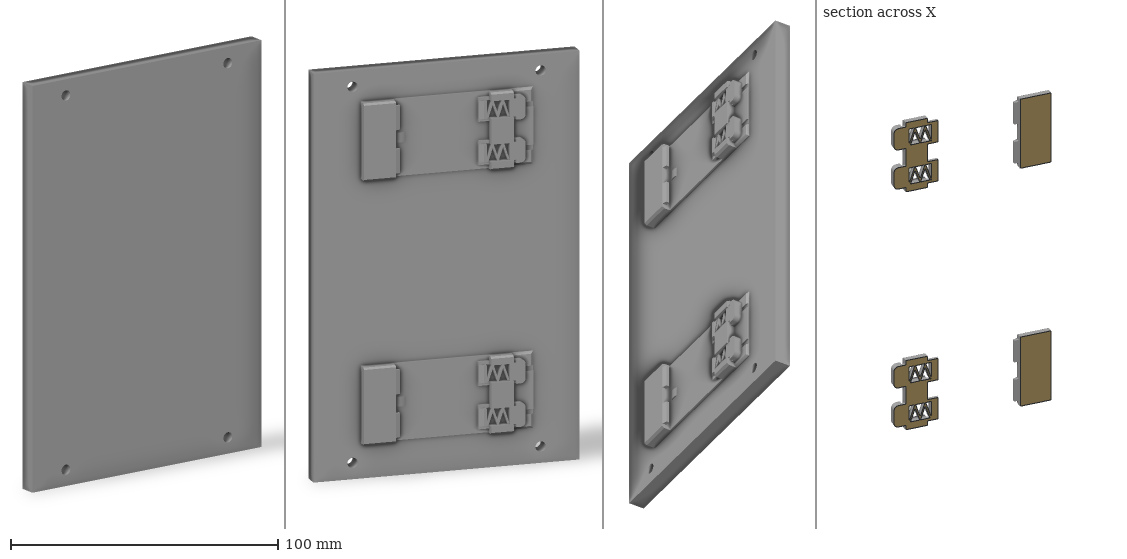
import cadquery as cq
import math

OVERALL_DEPTH = 10.93
PLATE_THICKNESS = 6.35
PLATE_WIDTH = 104.65
PLATE_HEIGHT = 158.75
HOLE_DIAMETER = 4.0
HOLE_INSET_Y = 15.35
HOLE_INSET_Z = 6.35

CLIP_START = 18.4
CLIP_CENTERS_Z = (52.2, -50.4)
CLIP_LENGTH = 67.8
CLIP_WIDTH = 30.0
CLIP_HEIGHT = OVERALL_DEPTH - PLATE_THICKNESS
HALF_WIDTH = CLIP_WIDTH / 2

BASE_HEIGHT = 1.1
BASE_CHAMFER = 1.0
BASE_CHAMFER_DEPTH = 0.8

HEAD_LENGTH = 12.6
BRIDGE_START = 50.0
BRIDGE_END = 58.9
BLOCK_CHAMFER = 0.6
BLOCK_CHAMFER_DEPTH = 1.05

TONGUE_REACH = 1.8
TONGUE_ROOT_TOP = 4.35
TONGUE_TIP_TOP = 3.7
TONGUE_BOTTOM = 2.65

BUMP_START = 13.7
BUMP_LENGTH = 3.8
BUMP_WIDTH = 3.8
BUMP_RISE = 0.5

LATCH_PITCH = 16.84
LATCH_CENTERS = (-LATCH_PITCH / 2, LATCH_PITCH / 2)
LATCH_WIDTH = 9.4
LATCH_CORE_WIDTH = 6.8
LATCH_HEIGHT = 4.05
LATCH_FLANGE_HEIGHT = 2.6
LATCH_START = 45.6
LATCH_LIP = 1.1
LATCH_LIP_HEIGHT = 1.6
LATCH_RAMP_LENGTH = 1.8
LATCH_RAMP_RISE = 1.05
LATCH_PAD_START = 60.1
LATCH_END = 63.7
LATCH_PAD_RADIUS = 2.0
POCKET_START = 48.5
POCKET_END = 57.5

SPRING_WIRE = 0.8
SPRING_TURNS = 5
SPRING_TOP = 3.5

GROOVE_WIDTH = 2.0
GROOVE_DEPTH = 0.6


def y_at(u):
    """Y position of a distance u along the clip."""
    return PLATE_WIDTH / 2 - CLIP_START - u


def block(u0, u1, w_center, width, h0, h1):
    """Rectangular block in clip coordinates."""
    return cq.Workplane("XY").box(h1 - h0, u1 - u0, width).translate(
        (-(h0 + h1) / 2, y_at((u0 + u1) / 2), w_center)
    )


def side_profile(points, w_center, width):
    """Prism with a (u, h) outline, extruded across the clip about w_center."""
    outline = [(-h, y_at(u)) for u, h in points]
    prism = cq.Workplane("XY").polyline(outline).close().extrude(width)
    return prism.translate((0, 0, w_center - width / 2))


def chamfered_bar(u0, u1, height, chamfer, depth):
    """Full-width bar whose two long upper edges are chamfered."""
    shoulder = height - depth
    outline = [
        (0, -HALF_WIDTH),
        (-shoulder, -HALF_WIDTH),
        (-height, -HALF_WIDTH + chamfer),
        (-height, HALF_WIDTH - chamfer),
        (-shoulder, HALF_WIDTH),
        (0, HALF_WIDTH),
    ]
    bar = cq.Workplane("XZ").polyline(outline).close().extrude(u1 - u0)
    return bar.translate((0, y_at(u0), 0))


def mounting_plate():
    plate = cq.Workplane("XY").box(PLATE_THICKNESS, PLATE_WIDTH, PLATE_HEIGHT)
    holes = (
        cq.Workplane("YZ")
        .rect(PLATE_WIDTH - 2 * HOLE_INSET_Y, PLATE_HEIGHT - 2 * HOLE_INSET_Z, forConstruction=True)
        .vertices()
        .circle(HOLE_DIAMETER / 2)
        .extrude(PLATE_THICKNESS, both=True)
    )
    return plate.cut(holes).translate((PLATE_THICKNESS / 2, 0, 0))


def base_strip():
    """Thin strip, square-edged up to the bridge and chamfered beyond it."""
    plain = block(0, BRIDGE_END, 0, CLIP_WIDTH, 0, BASE_HEIGHT)
    tail = chamfered_bar(BRIDGE_END, CLIP_LENGTH, BASE_HEIGHT, BASE_CHAMFER, BASE_CHAMFER_DEPTH)
    base = plain.union(tail)

    end_chamfer = [
        (CLIP_LENGTH - BASE_CHAMFER, BASE_HEIGHT),
        (CLIP_LENGTH, BASE_HEIGHT),
        (CLIP_LENGTH, BASE_HEIGHT - BASE_CHAMFER_DEPTH),
    ]
    corner_width = HALF_WIDTH - LATCH_PITCH / 2 - GROOVE_WIDTH / 2
    for side in (-1, 1):
        corner_center = side * (HALF_WIDTH - corner_width / 2)
        base = base.cut(side_profile(end_chamfer, corner_center, corner_width))

    groove_floor = BASE_HEIGHT - GROOVE_DEPTH
    for center in LATCH_CENTERS:
        base = base.cut(block(LATCH_END, CLIP_LENGTH, center, GROOVE_WIDTH, groove_floor, BASE_HEIGHT))
    return base


def head():
    """Solid head block with a ramped tongue opposite each latch."""
    body = chamfered_bar(0, HEAD_LENGTH, CLIP_HEIGHT, BLOCK_CHAMFER, BLOCK_CHAMFER_DEPTH)
    tongue = [
        (HEAD_LENGTH, TONGUE_BOTTOM),
        (HEAD_LENGTH, TONGUE_ROOT_TOP),
        (HEAD_LENGTH + TONGUE_REACH, TONGUE_TIP_TOP),
        (HEAD_LENGTH + TONGUE_REACH, TONGUE_BOTTOM),
    ]
    for center in LATCH_CENTERS:
        body = body.union(side_profile(tongue, center, LATCH_WIDTH))
    return body


def bump():
    """Cylindrical swelling of the base, its axis across the clip."""
    bump_end = BUMP_START + BUMP_LENGTH
    bump_middle = BUMP_START + BUMP_LENGTH / 2
    swelling = (
        cq.Workplane("XY")
        .moveTo(0, y_at(BUMP_START))
        .lineTo(-BASE_HEIGHT, y_at(BUMP_START))
        .threePointArc((-BASE_HEIGHT - BUMP_RISE, y_at(bump_middle)), (-BASE_HEIGHT, y_at(bump_end)))
        .lineTo(0, y_at(bump_end))
        .close()
        .extrude(BUMP_WIDTH)
    )
    return swelling.translate((0, 0, -BUMP_WIDTH / 2))


def bridge():
    """Block across the clip, open over the core of each latch."""
    body = chamfered_bar(BRIDGE_START, BRIDGE_END, CLIP_HEIGHT, BLOCK_CHAMFER, BLOCK_CHAMFER_DEPTH)
    for center in LATCH_CENTERS:
        body = body.cut(block(BRIDGE_START, BRIDGE_END, center, LATCH_CORE_WIDTH, BASE_HEIGHT, CLIP_HEIGHT))
    return body


def latch(center):
    """Sliding latch: lipped low flange, raised core with a spring pocket, and a thumb pad."""
    lip_end = LATCH_START + LATCH_LIP
    flange = side_profile(
        [
            (LATCH_START, LATCH_LIP_HEIGHT),
            (LATCH_START, LATCH_FLANGE_HEIGHT),
            (LATCH_PAD_START, LATCH_FLANGE_HEIGHT),
            (LATCH_PAD_START, 0),
            (lip_end, 0),
            (lip_end, LATCH_LIP_HEIGHT),
        ],
        center,
        LATCH_WIDTH,
    )
    core = side_profile(
        [
            (LATCH_START, LATCH_FLANGE_HEIGHT),
            (LATCH_START, LATCH_HEIGHT - LATCH_RAMP_RISE),
            (LATCH_START + LATCH_RAMP_LENGTH, LATCH_HEIGHT),
            (LATCH_PAD_START, LATCH_HEIGHT),
            (LATCH_PAD_START, LATCH_FLANGE_HEIGHT),
        ],
        center,
        LATCH_CORE_WIDTH,
    )
    pad = block(LATCH_PAD_START, LATCH_END, center, LATCH_WIDTH, 0, LATCH_HEIGHT)
    pad = pad.edges("|X and <Y").fillet(LATCH_PAD_RADIUS)
    pocket = block(POCKET_START, POCKET_END, center, LATCH_CORE_WIDTH, BASE_HEIGHT, LATCH_HEIGHT)
    return flange.union(core).union(pad).cut(pocket)


def spring(center):
    """Zigzag band spring spanning the latch pocket."""
    step = (POCKET_END - POCKET_START - SPRING_WIRE) / (SPRING_TURNS - 1)
    turn_offset = (LATCH_CORE_WIDTH - SPRING_WIRE) / 2
    turns = [
        (POCKET_START + SPRING_WIRE / 2 + i * step, turn_offset * (-1) ** (i + 1))
        for i in range(SPRING_TURNS)
    ]
    leg_length = math.hypot(step, 2 * turn_offset)
    band = None
    for (u0, w0), (u1, w1) in zip(turns, turns[1:]):
        angle = math.degrees(math.atan2(w1 - w0, y_at(u1) - y_at(u0)))
        leg = (
            cq.Workplane("YZ")
            .center(y_at((u0 + u1) / 2), center)
            .slot2D(leg_length + SPRING_WIRE, SPRING_WIRE, angle)
            .extrude(-SPRING_TOP)
        )
        band = leg if band is None else band.union(leg)
    return band


def clip():
    """Complete clip centred on Z = 0."""
    body = base_strip().union(head()).union(bump()).union(bridge())
    for center in LATCH_CENTERS:
        body = body.union(latch(center)).union(spring(center))
    return body


result = mounting_plate()
single_clip = clip()
for center_z in CLIP_CENTERS_Z:
    result = result.union(single_clip.translate((0, 0, center_z)))